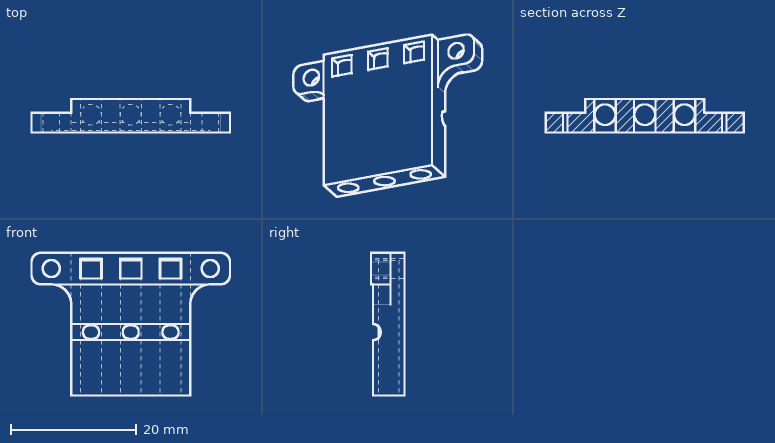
import cadquery as cq

length = 31.75
depth = 5.4
height = 22.85

block_width = 19.05
block_front = 0.32
block_depth = depth - block_front

flange_depth = 3.18
flange_height = 5.08
flange_corner_radius = 1.52
flange_bottom = height - flange_height
flange_mid_z = height - flange_height / 2
gusset_radius = 3.18
mount_hole_diameter = 2.7
mount_hole_x = length / 2 - 3.18

pin_count = 3
pin_spacing = 6.35
pin_radius = 1.65
pin_y = block_front + block_depth / 2
window_width = 3.43
window_height = 3.18
window_top = flange_mid_z + window_height / 2
pin_top_gap = 0.3
pin_top = window_top - pin_top_gap
groove_radius = 1.27
groove_z = height - 12.7
groove_edge_fillet = 0.15
pin_positions = [(i - (pin_count - 1) / 2) * pin_spacing for i in range(pin_count)]


def box(width, y_size, z_size, y_start, z_start):
    """Box centred on X = 0 that starts at the given Y and Z."""
    return (
        cq.Workplane("XY")
        .box(width, y_size, z_size, centered=(True, False, False))
        .translate((0, y_start, z_start))
    )


def make_flange():
    """Plate with rounded corners."""
    plate = box(length, flange_depth, flange_height, 0, flange_bottom)
    return plate.edges("|Y").fillet(flange_corner_radius)


def make_gusset(side):
    """Concave corner between the flange underside and one block side."""
    inner_x = side * block_width / 2
    outer_x = inner_x + side * gusset_radius
    arc_offset = gusset_radius * (1 - 0.5 ** 0.5)
    return (
        cq.Workplane("XZ", origin=(0, block_front, 0))
        .moveTo(inner_x, flange_bottom)
        .lineTo(outer_x, flange_bottom)
        .threePointArc(
            (inner_x + side * arc_offset, flange_bottom - arc_offset),
            (inner_x, flange_bottom - gusset_radius),
        )
        .close()
        .extrude(block_front - flange_depth)
    )


def make_groove():
    """Half-round channel across the front of the block."""
    return (
        cq.Workplane("YZ", origin=(-block_width / 2, 0, 0))
        .center(block_front, groove_z)
        .circle(groove_radius)
        .extrude(block_width)
    )


def make_pin(x):
    """Round pin from the block bottom up into its window."""
    return cq.Workplane("XY").center(x, pin_y).circle(pin_radius).extrude(pin_top)


def make_mount_holes():
    """Through holes near the flange ends."""
    return (
        cq.Workplane("XZ")
        .pushPoints([(-mount_hole_x, flange_mid_z), (mount_hole_x, flange_mid_z)])
        .circle(mount_hole_diameter / 2)
        .extrude(-flange_depth)
    )


def round_groove_openings(body):
    """Round the edges where the pin bores break into the groove."""
    for x in pin_positions:
        opening = cq.selectors.BoxSelector(
            (x - pin_radius, pin_y - pin_radius, groove_z - groove_radius),
            (x + pin_radius, block_front + groove_radius, groove_z + groove_radius),
        )
        body = body.edges(opening).fillet(groove_edge_fillet)
    return body


def make_housing():
    """Block and flange with pin bores, windows, groove and mounting holes."""
    body = box(block_width, block_depth, height, block_front, 0).union(make_flange())
    for side in (-1, 1):
        body = body.union(make_gusset(side))
    body = body.cut(make_mount_holes()).cut(make_groove())
    window = box(window_width, depth, window_height, 0, window_top - window_height)
    for x in pin_positions:
        body = body.cut(make_pin(x)).cut(window.translate((x, 0, 0)))
    return round_groove_openings(body)


housing = make_housing()
pins = [make_pin(x) for x in pin_positions]

result = cq.Compound.makeCompound([housing.val(), *[pin.val() for pin in pins]])